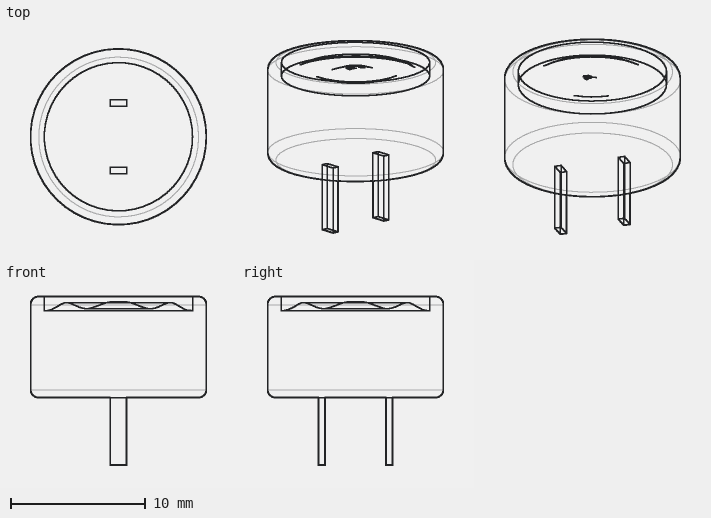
import cadquery as cq

body_diameter = 13.05
body_height = 7.5
edge_round = 0.6

recess_radius = 5.5
recess_depth = 1.05
center_rise = 0.6
diaphragm_waves = [
    (0.91, 0.57),
    (1.57, 0.34),
    (2.28, 0.13),
    (3.07, 0.31),
    (3.92, 0.59),
    (4.57, 0.27),
]

pin_width = 1.23
pin_thickness = 0.5
pin_length = 5.0
pin_spacing = 5.0


def make_housing():
    return (
        cq.Workplane("XY")
        .circle(body_diameter / 2)
        .extrude(body_height)
        .edges()
        .fillet(edge_round)
    )


def make_recess():
    """Solid of revolution that cuts the recess down to the diaphragm."""
    floor_z = body_height - recess_depth
    wave_points = [(radius, floor_z + rise) for radius, rise in diaphragm_waves]
    wave_points.append((recess_radius, floor_z))
    return (
        cq.Workplane("XZ")
        .moveTo(0, floor_z + center_rise)
        .spline(wave_points, includeCurrent=True)
        .lineTo(recess_radius, body_height)
        .lineTo(0, body_height)
        .close()
        .revolve(360, (0, 0), (0, 1))
    )


def make_pins():
    return (
        cq.Workplane("XY")
        .rarray(0.13, pin_spacing, 1, 2)
        .rect(pin_width, pin_thickness)
        .extrude(-pin_length)
    )


result = make_housing().cut(make_recess()).union(make_pins())